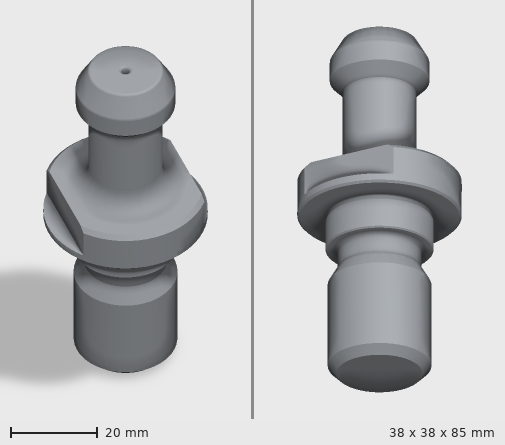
import cadquery as cq
import math

total_height = 85.0
flange_thickness = 10.0
flange_top = 50.1
flange_bottom = flange_top - flange_thickness
flat_floor = 42.2
relief_bottom = 39.3
pilot_top = 38.8
pilot_bottom = 31.9
undercut_top = 31.5
undercut_bottom = 26.6
knob_bottom = 75.0

shank_radius = 24.0 / 2
undercut_radius = 19.5 / 2
pilot_radius = 25.0 / 2
relief_radius = 24.5 / 2
flange_radius = 38.0 / 2
neck_radius = 17.0 / 2
knob_radius = 23.0 / 2

shank_chamfer = 2.0
undercut_fillet = 1.0
pilot_chamfer = pilot_bottom - undercut_top
relief_fillet = 0.25
flange_bottom_chamfer = 0.5
flange_top_chamfer = 1.0
neck_fillet = 5.0
knob_edge_fillet = 0.85
knob_shoulder_fillet = 1.0

taper_slope = math.tan(math.radians(30))
knob_top_radius = 8.5

flat_spacing = 30.0

centre_mouth_radius = 3.15 / 2
centre_cone_radius = 2.1 / 2
centre_pilot_radius = 1.0 / 2
centre_pilot_length = 1.3


def make_body():
    """Revolve the half profile of the whole stud about the Z axis."""
    shank_top = undercut_bottom - (shank_radius - undercut_radius) / taper_slope
    knob_neck_level = knob_bottom - (knob_radius - neck_radius)
    knob_shoulder = total_height - (knob_radius - knob_top_radius) / taper_slope
    diagonal = math.sqrt(0.5)
    neck_arc_radius = neck_radius + neck_fillet * (1 - diagonal)
    neck_arc_level = flange_top + neck_fillet * (1 - diagonal)
    undercut_arc_radius = undercut_radius + undercut_fillet * (1 - diagonal)
    undercut_arc_level = undercut_top - undercut_fillet * (1 - diagonal)
    relief_arc_radius = relief_radius + relief_fillet * (1 - diagonal)
    relief_arc_level = flange_bottom - relief_fillet * (1 - diagonal)

    profile = (
        cq.Workplane("XZ")
        .moveTo(0, 0)
        .lineTo(shank_radius - shank_chamfer, 0)
        .lineTo(shank_radius, shank_chamfer)
        .lineTo(shank_radius, shank_top)
        .lineTo(undercut_radius, undercut_bottom)
        .lineTo(undercut_radius, undercut_top - undercut_fillet)
        .threePointArc(
            (undercut_arc_radius, undercut_arc_level),
            (undercut_radius + undercut_fillet, undercut_top),
        )
        .lineTo(pilot_radius - pilot_chamfer, undercut_top)
        .lineTo(pilot_radius, pilot_bottom)
        .lineTo(pilot_radius, pilot_top)
        .lineTo(relief_radius, relief_bottom)
        .lineTo(relief_radius, flange_bottom - relief_fillet)
        .threePointArc(
            (relief_arc_radius, relief_arc_level),
            (relief_radius + relief_fillet, flange_bottom),
        )
        .lineTo(flange_radius - flange_bottom_chamfer, flange_bottom)
        .lineTo(flange_radius, flange_bottom + flange_bottom_chamfer)
        .lineTo(flange_radius, flange_top - flange_top_chamfer)
        .lineTo(flange_radius - flange_top_chamfer, flange_top)
        .lineTo(neck_radius + neck_fillet, flange_top)
        .threePointArc(
            (neck_arc_radius, neck_arc_level),
            (neck_radius, flange_top + neck_fillet),
        )
        .lineTo(neck_radius, knob_neck_level)
        .lineTo(knob_radius, knob_bottom)
        .lineTo(knob_radius, knob_shoulder)
        .lineTo(knob_top_radius, total_height)
        .lineTo(0, total_height)
        .close()
    )
    body = profile.revolve(360, (0, 0, 0), (0, 1, 0))
    body = body.faces(">Z").edges().fillet(knob_edge_fillet)
    shoulder_edge = cq.selectors.BoxSelector(
        (-flange_radius, -flange_radius, knob_shoulder - knob_edge_fillet),
        (flange_radius, flange_radius, knob_shoulder + knob_edge_fillet),
        boundingbox=True,
    )
    return body.edges(shoulder_edge).edges("%CIRCLE").fillet(knob_shoulder_fillet)


def make_flat_cutter(side):
    """Block that removes the flange beyond one wrench flat; side is +1 or -1."""
    depth = flange_radius
    centre_y = side * (flat_spacing / 2 + depth / 2)
    return (
        cq.Workplane("XY", origin=(0, centre_y, flat_floor))
        .rect(2 * flange_radius, depth)
        .extrude(flange_top - flat_floor)
    )


def make_centre_drill():
    """Protected centre: 120 degree mouth, 60 degree cone and a pilot hole."""
    mouth_floor = total_height - (centre_mouth_radius - centre_cone_radius) * taper_slope
    cone_floor = mouth_floor - (centre_cone_radius - centre_pilot_radius) / taper_slope
    pilot_floor = cone_floor - centre_pilot_length
    return (
        cq.Workplane("XZ")
        .moveTo(0, total_height)
        .lineTo(centre_mouth_radius, total_height)
        .lineTo(centre_cone_radius, mouth_floor)
        .lineTo(centre_pilot_radius, cone_floor)
        .lineTo(centre_pilot_radius, pilot_floor)
        .lineTo(0, pilot_floor - centre_pilot_radius * taper_slope)
        .close()
        .revolve(360, (0, 0, 0), (0, 1, 0))
    )


result = make_body().cut(make_centre_drill())
for flat_side in (1, -1):
    result = result.cut(make_flat_cutter(flat_side))